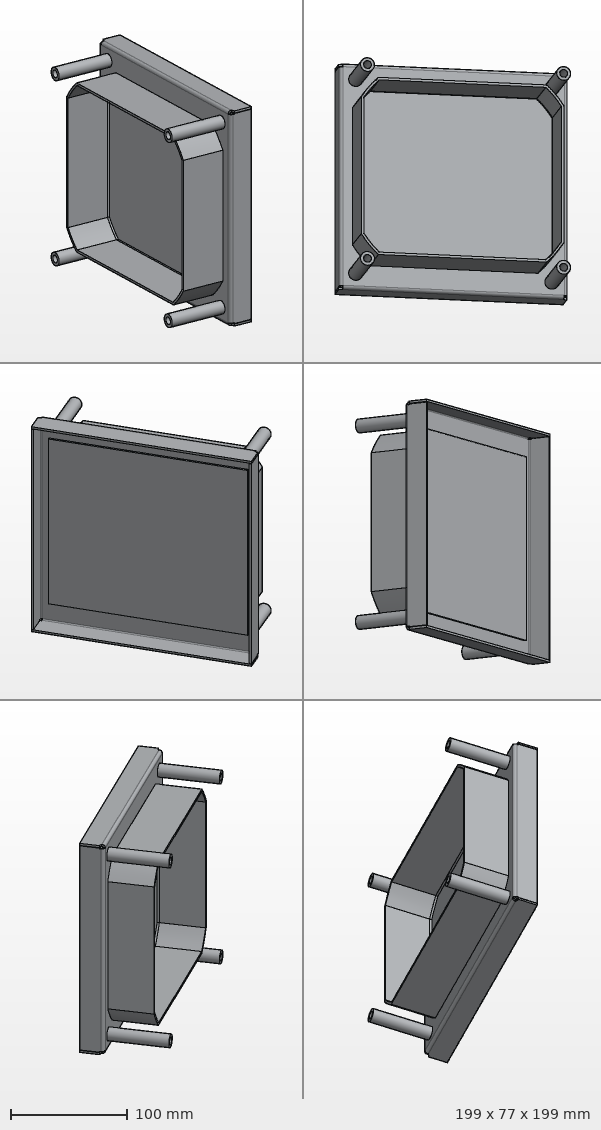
import cadquery as cq

panel_size = 199.0
panel_depth = 22.0
sheet = 2.0
bend_radius = 3.0
relief_radius = 4.4
gap_width = 0.4

shroud_width = 176.7
shroud_height = 156.5
shroud_length = 41.0
shroud_wall = 2.2
corner_width = 15.0
corner_height = 17.7
corner_bulge = 0.8

plate_lap = 4.0
plate_thickness = 2.0

post_length = 55.0
post_diameter = 12.1
post_bore = 6.8
post_pitch = 171.1

opening_width = shroud_width - 2 * shroud_wall
opening_height = shroud_height - 2 * shroud_wall


def front_plane(y):
    """Plane square to Y whose extrusions run toward -Y."""
    return cq.Workplane("XZ", origin=(0, y, 0))


def shroud_outline(y):
    """Octagon with slightly bowed corners, as a closed wire at depth y."""
    half_w = shroud_width / 2
    half_h = shroud_height / 2
    flat_x = half_w - corner_width
    flat_z = half_h - corner_height
    corner_length = (corner_width**2 + corner_height**2) ** 0.5
    bow_x = half_w - corner_width / 2 + corner_bulge * corner_height / corner_length
    bow_z = half_h - corner_height / 2 + corner_bulge * corner_width / corner_length
    return (
        front_plane(y)
        .moveTo(-flat_x, half_h)
        .lineTo(flat_x, half_h)
        .threePointArc((bow_x, bow_z), (half_w, flat_z))
        .lineTo(half_w, -flat_z)
        .threePointArc((bow_x, -bow_z), (flat_x, -half_h))
        .lineTo(-flat_x, -half_h)
        .threePointArc((-bow_x, -bow_z), (-half_w, -flat_z))
        .lineTo(-half_w, flat_z)
        .threePointArc((-bow_x, bow_z), (-flat_x, half_h))
        .close()
    )


def opening_prism(y, length):
    """Solid filling the opening from depth y forward by length."""
    return shroud_outline(y).offset2D(-shroud_wall, "intersection").extrude(length)


def corner_relief(side_x, side_z):
    """Bend relief at one corner: a slice of a round hole about the outer edge, one bend wide."""
    edge_x = side_x * panel_size / 2
    slice_x = side_x * (panel_size - bend_radius) / 2
    slice_z = side_z * (panel_size - bend_radius) / 2
    hole = cq.Workplane("XY").center(edge_x, 0).circle(relief_radius).extrude(panel_size, both=True)
    bend_slice = cq.Workplane("XY").box(bend_radius, 2 * relief_radius, bend_radius)
    return bend_slice.translate((slice_x, 0, slice_z)).intersect(hole)


def flange_gap(side_x, side_z):
    """Narrow slit between a side flange and the top or bottom flange that overlaps its end."""
    gap_x = side_x * (panel_size - sheet) / 2
    gap_z = side_z * (panel_size / 2 - sheet - gap_width / 2)
    return front_plane(panel_depth).center(gap_x, gap_z).rect(sheet, gap_width).extrude(panel_depth)


def make_panel():
    """Tray of bent sheet with relieved corners and the octagonal opening."""
    inner_size = panel_size - 2 * sheet
    outer = front_plane(panel_depth).rect(panel_size, panel_size).extrude(panel_depth)
    outer = outer.faces("<Y").edges().fillet(bend_radius)
    cavity_depth = panel_depth - sheet
    cavity = front_plane(panel_depth).rect(inner_size, inner_size).extrude(cavity_depth)
    cavity = cavity.faces("<Y").edges().fillet(bend_radius - sheet)
    panel_body = outer.cut(cavity).cut(opening_prism(sheet, sheet))
    for side_x in (-1, 1):
        for side_z in (-1, 1):
            panel_body = panel_body.cut(corner_relief(side_x, side_z))
            panel_body = panel_body.cut(flange_gap(side_x, side_z))
    return panel_body


def make_shroud():
    """Open-ended octagonal wall standing on the panel front."""
    return shroud_outline(0).extrude(shroud_length).cut(opening_prism(0, shroud_length))


def make_plate():
    """Flat plate against the back of the panel, lapping the opening all round."""
    width = opening_width + 2 * plate_lap
    height = opening_height + 2 * plate_lap
    return front_plane(sheet + plate_thickness).rect(width, height).extrude(plate_thickness)


def make_post(x, z):
    """Bored round post standing on the panel front."""
    return (
        front_plane(0)
        .center(x, z)
        .circle(post_diameter / 2)
        .circle(post_bore / 2)
        .extrude(post_length)
    )


panel = make_panel()
shroud = make_shroud()
plate = make_plate()
posts = []
for side_x in (-1, 1):
    for side_z in (-1, 1):
        post = make_post(side_x * post_pitch / 2, side_z * post_pitch / 2)
        posts.append(post.val())

result = cq.Compound.makeCompound([panel.val(), shroud.val(), plate.val(), *posts])